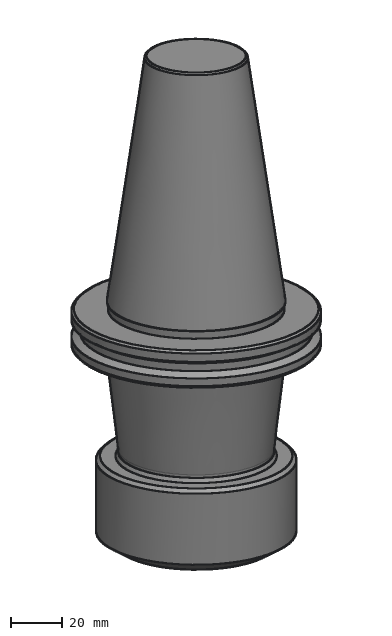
import cadquery as cq

total_height = 201.8

taper_ratio = 7 / 24
gauge_radius = 35.0
taper_length = 101.7
taper_end_chamfer = 0.8

relief_height = 3.2
relief_radius = 34.5

flange_diameter = 97.5
flange_radius = flange_diameter / 2
flange_height = 15.5
flange_chamfer = 1.0
groove_floor_radius = 45.4
groove_floor_width = 3.2
groove_mouth_width = 6.9
upper_rim_height = 4.5

body_top_radius = 35.5
body_bottom_radius = 30.5

nut_radius = 39.1
nut_height = 36.0
nut_top_chamfer = 1.6
nut_nose_height = 4.8
nut_nose_radius = 31.5
collar_base_radius = 31.5
collar_flare_height = 1.8
collar_band_height = 1.2

gauge_z = total_height - taper_length
flange_top_z = gauge_z - relief_height
flange_bottom_z = flange_top_z - flange_height
collar_flare_z = nut_height + collar_flare_height
body_bottom_z = collar_flare_z + collar_band_height

groove_mouth_top_z = flange_top_z - upper_rim_height
groove_mouth_bottom_z = groove_mouth_top_z - groove_mouth_width
groove_wall_height = (groove_mouth_width - groove_floor_width) / 2
groove_floor_top_z = groove_mouth_top_z - groove_wall_height
groove_floor_bottom_z = groove_mouth_bottom_z + groove_wall_height

taper_chamfer_z = total_height - taper_end_chamfer
taper_chamfer_radius = gauge_radius - (taper_chamfer_z - gauge_z) * taper_ratio / 2

nut_profile = [
    (0, 0),
    (nut_nose_radius, 0),
    (nut_radius, nut_nose_height),
    (nut_radius, nut_height - nut_top_chamfer),
    (nut_radius - nut_top_chamfer, nut_height),
]
body_profile = [
    (collar_base_radius, nut_height),
    (body_bottom_radius, collar_flare_z),
    (body_bottom_radius, body_bottom_z),
    (body_top_radius, flange_bottom_z),
]
flange_profile = [
    (flange_radius - flange_chamfer, flange_bottom_z),
    (flange_radius, flange_bottom_z + flange_chamfer),
    (flange_radius, groove_mouth_bottom_z),
    (groove_floor_radius, groove_floor_bottom_z),
    (groove_floor_radius, groove_floor_top_z),
    (flange_radius, groove_mouth_top_z),
    (flange_radius, flange_top_z - flange_chamfer),
    (flange_radius - flange_chamfer, flange_top_z),
]
taper_profile = [
    (relief_radius, flange_top_z),
    (relief_radius, gauge_z),
    (gauge_radius, gauge_z),
    (taper_chamfer_radius, taper_chamfer_z),
    (taper_chamfer_radius - taper_end_chamfer, total_height),
    (0, total_height),
]

half_section = nut_profile + body_profile + flange_profile + taper_profile
result = cq.Workplane("XZ").polyline(half_section).close().revolve(360, (0, 0, 0), (0, 1, 0))